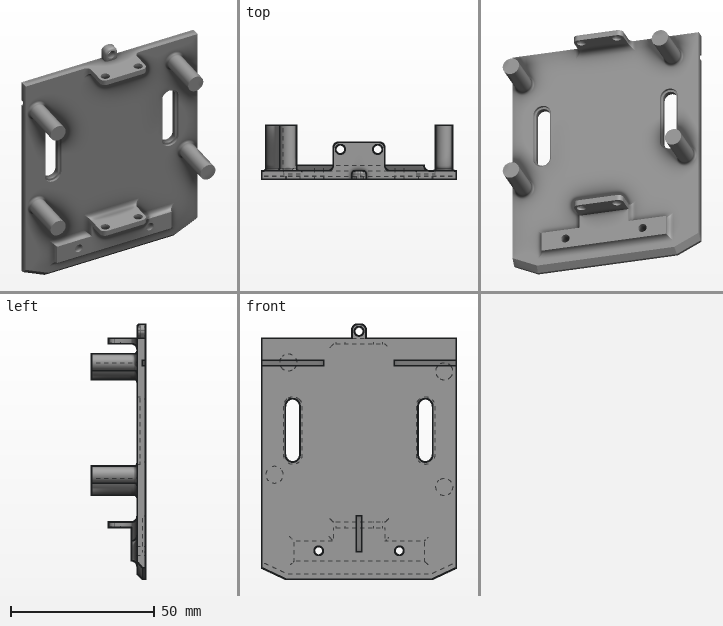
import cadquery as cq


plate_width = 68.0
plate_height = 84.1
plate_thickness = 3.0
corner_cut_width = 8.5
corner_cut_height = 4.0
bottom_chamfer = 2.0

total_height = 89.0
tab_width = 5.0
tab_corner_radius = 2.05
tab_back_fillet = 1.1
tab_hole_diameter = 3.1
tab_hole_z = 86.5

groove_width = 2.0
groove_depth = 1.25
side_groove_bottom_z = 74.5
side_groove_inner_x = 12.3
center_groove_bottom_z = 9.6
center_groove_length = 12.55

slot_width = 5.0
slot_length = 22.0
slot_x = 23.1
slot_center_z = 52.0
slot_recess_margin = 0.76
slot_recess_depth = 1.0

bracket_width = 18.0
bracket_reach_y = 13.0
bracket_thickness = 2.0
bracket_corner_radius = 2.0
bracket_hole_diameter = 3.2
bracket_hole_x = 6.5
bracket_hole_y = 10.5
lower_bracket_top_z = 20.0

pad_width = 45.4
pad_height = 6.9
pad_rise = 2.0
mount_hole_diameter = 3.0
mount_hole_x = 14.1
mount_hole_z = 10.0

base_fillet = 1.9

pin_diameter = 6.0
pin_tip_y = 19.0
pin_base_fillet = 0.8
right_pin_x = 29.6
pin_centers = [
    (-24.7, 75.7),
    (-29.55, 36.6),
    (right_pin_x, 72.6),
    (right_pin_x, 32.3),
]

tolerance = 0.1


def block(x_min, x_max, y_min, y_max, z_min, z_max):
    """Box given by its limits along each axis."""
    size = (x_max - x_min, y_max - y_min, z_max - z_min)
    return cq.Workplane("XY").box(*size, centered=False).translate((x_min, y_min, z_min))


def rod_y(x, z, diameter, y_min, y_max):
    """Cylinder along Y."""
    start = cq.Vector(x, y_min, z)
    return cq.Workplane(cq.Solid.makeCylinder(diameter / 2, y_max - y_min, start, cq.Vector(0, 1, 0)))


def back_face_edges(x_min, x_max, z_min, z_max):
    """Selector for edges lying on the plate's back face within the given X and Z limits."""
    return cq.selectors.BoxSelector(
        (x_min, plate_thickness - tolerance, z_min),
        (x_max, plate_thickness + tolerance, z_max),
    )


def make_plate():
    """Plate with cut lower corners and a chamfer along the back of its lower edges."""
    half = plate_width / 2
    half_bottom = half - corner_cut_width
    plate = (
        cq.Workplane("XZ")
        .polyline([
            (-half_bottom, 0),
            (half_bottom, 0),
            (half, corner_cut_height),
            (half, plate_height),
            (-half, plate_height),
            (-half, corner_cut_height),
        ])
        .close()
        .extrude(-plate_thickness)
    )
    lower_back_edges = back_face_edges(-half, half, -tolerance, corner_cut_height)
    return plate.edges(lower_back_edges).chamfer(bottom_chamfer)


def make_tab():
    """Eyelet tab with rounded upper corners and a rounded back rim."""
    half = tab_width / 2
    tab = block(-half, half, 0, plate_thickness, plate_height, total_height)
    tab = tab.edges("|Y and >Z").fillet(tab_corner_radius)
    tab = tab.faces(">Y").edges("not <Z").fillet(tab_back_fillet)
    return tab.cut(rod_y(0, tab_hole_z, tab_hole_diameter, 0, plate_thickness))


def make_bracket(top_z):
    """Horizontal bracket leaf with rounded outer corners and two holes."""
    half = bracket_width / 2
    leaf = block(-half, half, plate_thickness, bracket_reach_y, top_z - bracket_thickness, top_z)
    leaf = leaf.edges("|Z and >Y").fillet(bracket_corner_radius)
    holes = (
        cq.Workplane("XY", origin=(0, 0, top_z))
        .pushPoints([(-bracket_hole_x, bracket_hole_y), (bracket_hole_x, bracket_hole_y)])
        .circle(bracket_hole_diameter / 2)
        .extrude(-bracket_thickness)
    )
    return leaf.cut(holes)


def make_pad():
    """T-shaped pad: a wide bar around the mounting holes and a stem up to the lower bracket."""
    pad_top_y = plate_thickness + pad_rise
    bar = block(
        -pad_width / 2, pad_width / 2, plate_thickness, pad_top_y,
        mount_hole_z - pad_height / 2, mount_hole_z + pad_height / 2,
    )
    stem = block(
        -bracket_width / 2, bracket_width / 2, plate_thickness, pad_top_y,
        mount_hole_z, lower_bracket_top_z,
    )
    return bar.union(stem)


def add_pins(body):
    """Standoff pins with a small fillet around each foot."""
    for x, z in pin_centers:
        body = body.union(rod_y(x, z, pin_diameter, plate_thickness, pin_tip_y))
    for x, z in pin_centers:
        foot = back_face_edges(x - pin_diameter, x + pin_diameter, z - pin_diameter, z + pin_diameter)
        body = body.edges("%CIRCLE").edges(foot).fillet(pin_base_fillet)
    return body


def cut_grooves(body):
    """Two side grooves running out of the plate's sides and one vertical centre groove."""
    half = plate_width / 2
    side_groove_top_z = side_groove_bottom_z + groove_width
    for x_min, x_max in [(-half, -side_groove_inner_x), (side_groove_inner_x, half)]:
        body = body.cut(block(x_min, x_max, 0, groove_depth, side_groove_bottom_z, side_groove_top_z))
    center_groove_top_z = center_groove_bottom_z + center_groove_length
    return body.cut(
        block(-groove_width / 2, groove_width / 2, 0, groove_depth, center_groove_bottom_z, center_groove_top_z)
    )


def slot_pair(length, width, front_y):
    """Both vertical round-ended slots, running from front_y to the back face."""
    return (
        cq.Workplane("XZ", origin=(0, front_y, 0))
        .pushPoints([(-slot_x, slot_center_z), (slot_x, slot_center_z)])
        .slot2D(length, width, 90)
        .extrude(front_y - plate_thickness)
    )


def cut_slots(body):
    """Slots through the plate with a wider recess around them in the back face."""
    recess_length = slot_length + 2 * slot_recess_margin
    recess_width = slot_width + 2 * slot_recess_margin
    recess_floor_y = plate_thickness - slot_recess_depth
    body = body.cut(slot_pair(slot_length, slot_width, 0))
    return body.cut(slot_pair(recess_length, recess_width, recess_floor_y))


def drill_mount_holes(body):
    """Two holes through the plate and the pad."""
    for x in (-mount_hole_x, mount_hole_x):
        body = body.cut(rod_y(x, mount_hole_z, mount_hole_diameter, 0, plate_thickness + pad_rise))
    return body


def fillet_feet(body):
    """Concave fillet where the pad and brackets meet the back face.

    The plate's top edge is left out, because the upper bracket is flush with it.
    """
    half = pad_width / 2 + tolerance
    feet = back_face_edges(-half, half, bottom_chamfer + tolerance, plate_height - tolerance)
    return body.edges(feet).fillet(base_fillet)


body = make_plate()
body = body.union(make_pad())
body = body.union(make_bracket(lower_bracket_top_z))
body = body.union(make_bracket(plate_height))
body = fillet_feet(body)
body = add_pins(body)
body = body.union(make_tab())
body = cut_grooves(body)
body = cut_slots(body)
body = drill_mount_holes(body)

result = body